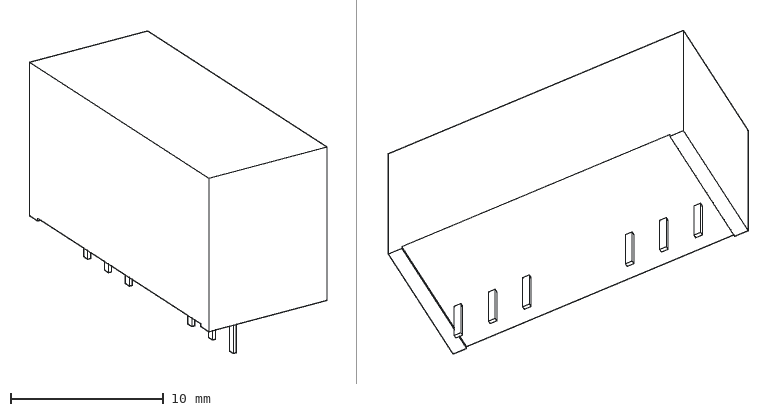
import cadquery as cq

case_length = 21.8
case_width = 9.2
total_height = 14.06
foot_length = 1.0
foot_height = 0.2

pin_pitch = 2.53
pin_width = 0.5
pin_thickness = 0.25
pin_drop = 3.0
pin_row_from_front = 3.18
pin_slots = (-3.5, -2.5, -1.5, 1.5, 2.5, 3.5)

case_height = total_height - pin_drop
pin_row_y = pin_row_from_front - case_width / 2


def make_case():
    """Block with its underside recessed between the two end feet; feet stand on Z = 0."""
    block = cq.Workplane("XY").box(case_length, case_width, case_height, centered=(True, True, False))
    recess = cq.Workplane("XY").box(
        case_length - 2 * foot_length, case_width, foot_height, centered=(True, True, False)
    )
    return block.cut(recess)


def make_pins():
    """Row of pins hanging from the recessed underside."""
    return (
        cq.Workplane("XY")
        .workplane(offset=-pin_drop)
        .pushPoints([(slot * pin_pitch, pin_row_y) for slot in pin_slots])
        .rect(pin_width, pin_thickness)
        .extrude(pin_drop + foot_height)
    )


result = make_case().union(make_pins())